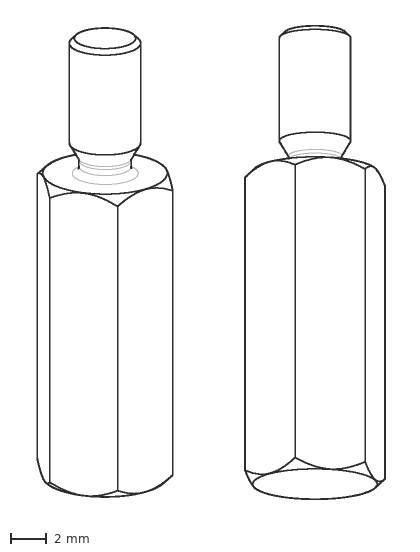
import cadquery as cq
import math

total_length = 26.0
body_length = 18.0
across_flats = 7.0
end_face_diameter = 6.97
stud_diameter = 4.0
tip_chamfer = 0.29
neck_diameter = 2.9
undercut_length = 1.8
undercut_fillet = 0.4
runout_angle = math.radians(30)

across_corners = across_flats / math.cos(math.radians(30))
corner_radius = across_corners / 2
end_face_radius = end_face_diameter / 2
corner_chamfer = corner_radius - end_face_radius
stud_radius = stud_diameter / 2
neck_radius = neck_diameter / 2


def chamfered_hex_body():
    """Hexagonal bar, corners along X, with conically turned ends."""
    bar = cq.Workplane("XY").polygon(6, across_corners).extrude(body_length)
    turned_envelope = (
        cq.Workplane("XY")
        .circle(corner_radius)
        .extrude(body_length)
        .faces("<Z or >Z")
        .chamfer(corner_chamfer)
    )
    return bar.intersect(turned_envelope)


def undercut_stud():
    """Revolved stud with a filleted neck next to the body and a chamfered tip."""
    stud_start = body_length + undercut_length
    base_fillet_radius = neck_radius + undercut_fillet
    base_fillet_top = body_length + undercut_fillet
    diagonal = undercut_fillet * math.sqrt(0.5)

    cone_height = (stud_radius - neck_radius) / math.tan(runout_angle)
    tangent_length = undercut_fillet * math.tan(runout_angle / 2)
    fillet_start = stud_start - cone_height - tangent_length

    def runout_point(angle):
        radius = neck_radius + undercut_fillet * (1 - math.cos(angle))
        return radius, fillet_start + undercut_fillet * math.sin(angle)

    return (
        cq.Workplane("XZ")
        .moveTo(0, body_length)
        .lineTo(base_fillet_radius, body_length)
        .threePointArc(
            (base_fillet_radius - diagonal, base_fillet_top - diagonal),
            (neck_radius, base_fillet_top),
        )
        .lineTo(neck_radius, fillet_start)
        .threePointArc(runout_point(runout_angle / 2), runout_point(runout_angle))
        .lineTo(stud_radius, stud_start)
        .lineTo(stud_radius, total_length - tip_chamfer)
        .lineTo(stud_radius - tip_chamfer, total_length)
        .lineTo(0, total_length)
        .close()
        .revolve(360, (0, 0, 0), (0, 1, 0))
    )


result = chamfered_hex_body().union(undercut_stud())